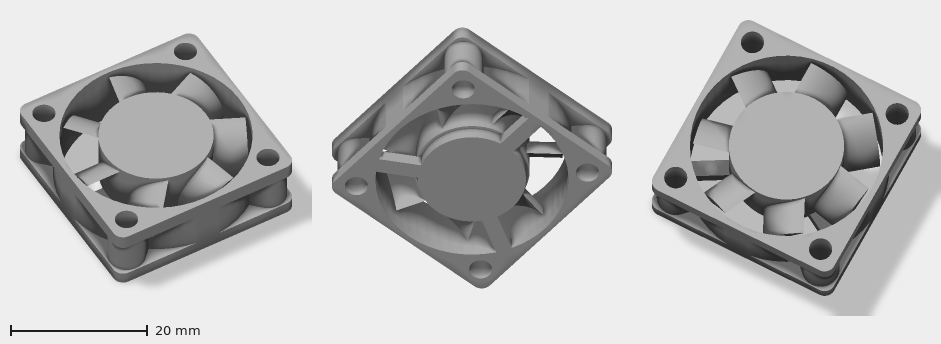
import cadquery as cq
import math

frame_side = 30.0
frame_height = 10.0
corner_radius = 1.6
bottom_flange = 1.95
top_flange = 2.35
bore_diameter = 28.3
duct_outer_radius = 15.12

hole_diameter = 3.4
hole_offset = 12.0
post_radius = 2.8

hub_diameter = 16.9
base_diameter = 15.8
base_height = bottom_flange
strut_width = 2.4
strut_count = 3
first_strut_angle = 30.0

blade_count = 7
first_blade_angle = 270.0
blade_width = 6.0
blade_drop = 6.6
blade_top = 9.4
blade_tip_distance = 13.38
blade_root_distance = 6.0
outer_bulge = 1.98
inner_bulge = 0.65

hole_points = [(x, y) for x in (-hole_offset, hole_offset) for y in (-hole_offset, hole_offset)]


def square_block(height):
    """Rounded square block standing on the bottom plane."""
    block = cq.Workplane("XY").rect(frame_side, frame_side).extrude(height)
    return block.edges("|Z").fillet(corner_radius)


def make_frame():
    """Two flanges joined by a round duct and four webbed corner posts."""
    top_plate = square_block(top_flange).translate((0, 0, frame_height - top_flange))
    middle = cq.Workplane("XY").circle(duct_outer_radius).extrude(frame_height)
    posts = cq.Workplane("XY").pushPoints(hole_points).circle(post_radius).extrude(frame_height)
    middle = middle.union(posts)
    web_length = 2 * math.hypot(hole_offset, hole_offset)
    for angle in (45, 135):
        web = cq.Workplane("XY").rect(web_length, 2 * post_radius).extrude(frame_height)
        middle = middle.union(web.rotate((0, 0, 0), (0, 0, 1), angle))
    middle = middle.intersect(square_block(frame_height))
    frame = square_block(bottom_flange).union(middle).union(top_plate)
    bore = cq.Workplane("XY").circle(bore_diameter / 2).extrude(frame_height)
    holes = cq.Workplane("XY").pushPoints(hole_points).circle(hole_diameter / 2).extrude(frame_height)
    return frame.cut(bore).cut(holes)


def make_hub():
    """Rotor hub standing on the slightly smaller motor base."""
    base = cq.Workplane("XY").circle(base_diameter / 2).extrude(base_height)
    rotor = cq.Workplane("XY").workplane(offset=base_height).circle(hub_diameter / 2)
    return base.union(rotor.extrude(frame_height - base_height))


def make_strut(angle):
    """Radial bar from the base into the duct wall."""
    length = (bore_diameter / 2 + duct_outer_radius) / 2
    strut = cq.Workplane("XY").rect(length, strut_width).extrude(base_height)
    return strut.translate((length / 2, 0, 0)).rotate((0, 0, 0), (0, 0, 1), angle)


def make_blade(angle):
    """Radial blade with a crescent section bulging up and clockwise."""
    chord = math.hypot(blade_width, blade_drop)
    high = (blade_width / 2, blade_top)
    low = (-blade_width / 2, blade_top - blade_drop)
    mid_height = blade_top - blade_drop / 2

    def bulge_point(bulge):
        return (-bulge * blade_drop / chord, mid_height + bulge * blade_width / chord)

    section = cq.Workplane("YZ").workplane(offset=blade_root_distance).moveTo(*high)
    section = section.threePointArc(bulge_point(outer_bulge), low)
    section = section.threePointArc(bulge_point(inner_bulge), high).close()
    blade = section.extrude(blade_tip_distance - blade_root_distance)
    return blade.rotate((0, 0, 0), (0, 0, 1), angle)


result = make_frame().union(make_hub())
for index in range(strut_count):
    result = result.union(make_strut(first_strut_angle + index * 360 / strut_count))
for index in range(blade_count):
    result = result.union(make_blade(first_blade_angle + index * 360 / blade_count))